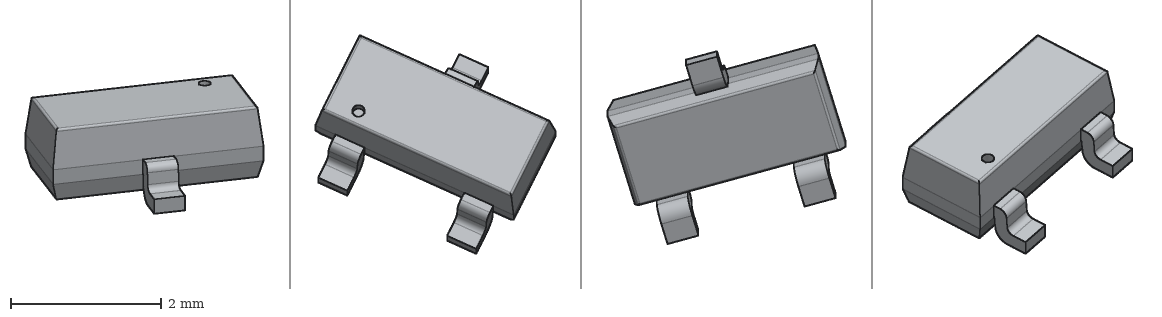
import cadquery as cq
import math

BODY_WIDTH = 1.302
BODY_LENGTH = 2.92
BODY_TOP = 1.12
BODY_BOTTOM = 0.095
TOP_DRAFT = 7.0
BOTTOM_DRAFT = 14.0
EDGE_RADIUS = 0.035

LEAD_SPAN = 2.37
LEAD_THICKNESS = 0.21
LEAD_WIDTH = 0.43
SHOULDER_TOP = 0.572
SHOULDER_BOTTOM = SHOULDER_TOP - LEAD_THICKNESS
SHANK_LEAN = 4.0
FOOT_INNER_RADIUS = 0.1
FOOT_OUTER_RADIUS = 0.21
SHOULDER_OUTER_RADIUS = 0.11
SHOULDER_INNER_RADIUS = 0.012
SHANK_FRONT_AT_FOOT = 0.3
LEAD_OFFSET = 0.95

MARKER_DIAMETER = 0.164
MARKER_DEPTH = 0.145
MARKER_X = -0.388
MARKER_Y = LEAD_OFFSET


def make_band_section(start_z, height, draft=0.0):
    """Extrude the housing outline from start_z, tapering inward by draft degrees."""
    return (
        cq.Workplane("XY")
        .workplane(offset=start_z)
        .rect(BODY_WIDTH, BODY_LENGTH)
        .extrude(height, taper=draft)
    )


def make_housing():
    band = make_band_section(SHOULDER_BOTTOM, LEAD_THICKNESS)
    upper = make_band_section(SHOULDER_TOP, BODY_TOP - SHOULDER_TOP, TOP_DRAFT)
    lower = make_band_section(SHOULDER_BOTTOM, BODY_BOTTOM - SHOULDER_BOTTOM, BOTTOM_DRAFT)
    upper = upper.faces(">Z").edges().fillet(EDGE_RADIUS)
    lower = lower.faces("<Z").edges().fillet(EDGE_RADIUS)
    marker = (
        cq.Workplane("XY")
        .workplane(offset=BODY_TOP - MARKER_DEPTH)
        .center(MARKER_X, MARKER_Y)
        .circle(MARKER_DIAMETER / 2)
        .extrude(MARKER_DEPTH)
    )
    return band.union(upper).union(lower).cut(marker)


def make_lead(side, y):
    """Make one lead centred at y, pointing to -X (side = -1) or +X (side = 1)."""
    lean = math.radians(SHANK_LEAN)
    toe = LEAD_SPAN / 2
    root = BODY_WIDTH / 2
    front_at_foot = toe - SHANK_FRONT_AT_FOOT
    back_at_foot = front_at_foot - LEAD_THICKNESS / math.cos(lean)

    def shank_x(x_at_foot, z):
        return x_at_foot - (z - LEAD_THICKNESS) * math.tan(lean)

    foot_inner = (front_at_foot, LEAD_THICKNESS)
    foot_outer = (shank_x(back_at_foot, 0), 0)
    shoulder_outer = (shank_x(front_at_foot, SHOULDER_TOP), SHOULDER_TOP)
    shoulder_inner = (shank_x(back_at_foot, SHOULDER_BOTTOM), SHOULDER_BOTTOM)
    profile = [
        (toe, 0),
        (toe, LEAD_THICKNESS),
        foot_inner,
        shoulder_outer,
        (root, SHOULDER_TOP),
        (root, SHOULDER_BOTTOM),
        shoulder_inner,
        foot_outer,
    ]
    bends = [
        (foot_inner, FOOT_INNER_RADIUS),
        (foot_outer, FOOT_OUTER_RADIUS),
        (shoulder_outer, SHOULDER_OUTER_RADIUS),
        (shoulder_inner, SHOULDER_INNER_RADIUS),
    ]
    lead = (
        cq.Workplane("XZ")
        .polyline([(side * x, z) for x, z in profile])
        .close()
        .extrude(LEAD_WIDTH / 2, both=True)
    )
    for (x, z), radius in bends:
        lead = lead.edges(cq.NearestToPointSelector((side * x, 0, z))).fillet(radius)
    return lead.translate((0, y, 0))


housing = make_housing()
lead_places = [(-1, LEAD_OFFSET), (-1, -LEAD_OFFSET), (1, 0)]
leads = [make_lead(side, y) for side, y in lead_places]

result = cq.Compound.makeCompound([housing.val(), *[lead.val() for lead in leads]])